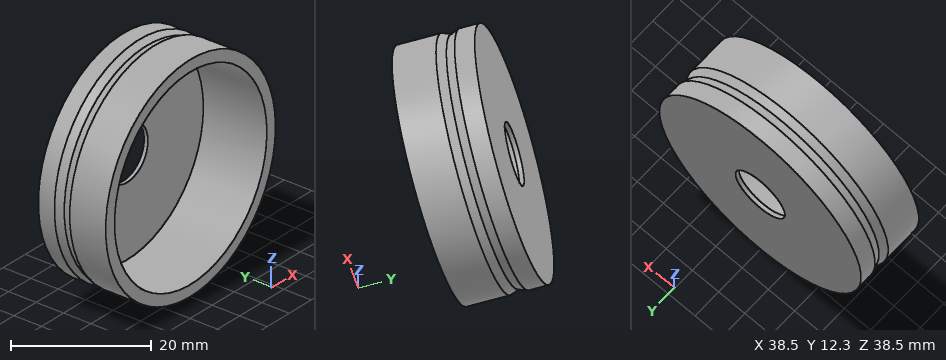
import cadquery as cq

outer_diameter = 38.5
width = 12.3
bore_diameter = 34.5
hole_diameter = 9.4
floor_thickness = 0.75

groove_center_offset = 4.35
groove_width = 2.77
groove_depth = 0.5

outer_radius = outer_diameter / 2
bore_radius = bore_diameter / 2
hole_radius = hole_diameter / 2
open_y = -width / 2
closed_y = width / 2
floor_y = closed_y - floor_thickness
groove_y = closed_y - groove_center_offset

section = (
    cq.Workplane("XY")
    .moveTo(bore_radius, open_y)
    .lineTo(outer_radius, open_y)
    .lineTo(outer_radius, groove_y - groove_width / 2)
    .lineTo(outer_radius - groove_depth, groove_y)
    .lineTo(outer_radius, groove_y + groove_width / 2)
    .lineTo(outer_radius, closed_y)
    .lineTo(hole_radius, closed_y)
    .lineTo(hole_radius, floor_y)
    .lineTo(bore_radius, floor_y)
    .close()
)

result = section.revolve(360, (0, 0, 0), (0, 1, 0))